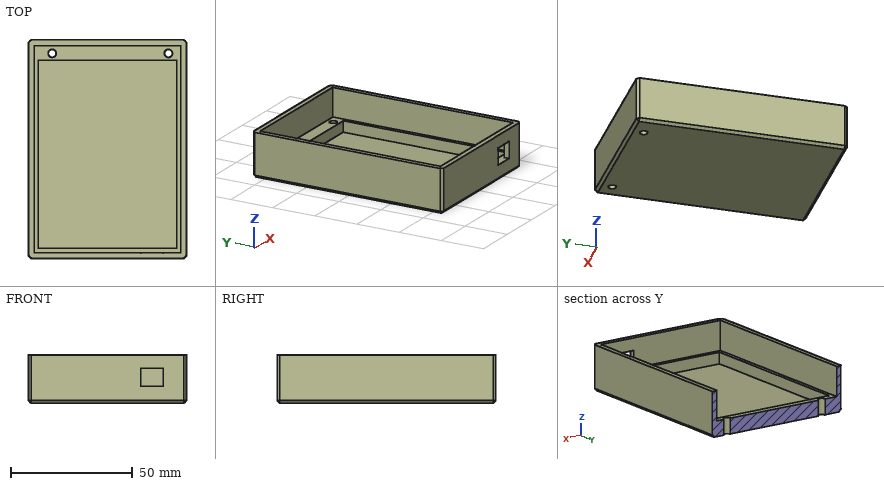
import cadquery as cq

length_x = 65.4
length_y = 90.4
height = 20.0
outer_chamfer = 1.2

wall = 2.4
ledge_z = 7.0
floor_z = 2.0
side_ledge = 1.8
back_ledge = 6.1

screw_diameter = 3.2
screw_spacing = 48.0
screw_from_back = 5.65
screw_center_x = 1.15

window_width = 9.2
window_height = 7.5
window_center_x = 18.35
window_bottom_z = ledge_z

cavity_x = length_x - 2 * wall
cavity_y = length_y - 2 * wall
front_y = -length_y / 2
back_y = length_y / 2


def make_body():
    """Solid block with its upright and bottom edges chamfered."""
    block = cq.Workplane("XY").box(length_x, length_y, height, centered=(True, True, False))
    return block.edges("|Z or <Z").chamfer(outer_chamfer)


def make_cavity():
    """Open upper cavity down to the ledge."""
    return (
        cq.Workplane("XY", origin=(0, 0, ledge_z))
        .box(cavity_x, cavity_y, height - ledge_z, centered=(True, True, False))
    )


def make_well():
    """Deeper well inside the ledge, set forward by the wide back ledge."""
    well_front_y = front_y + wall + side_ledge
    well_back_y = back_y - wall - back_ledge
    return (
        cq.Workplane("XY", origin=(0, (well_front_y + well_back_y) / 2, floor_z))
        .box(
            cavity_x - 2 * side_ledge,
            well_back_y - well_front_y,
            ledge_z - floor_z,
            centered=(True, True, False),
        )
    )


def make_screw_holes():
    """Pair of clearance holes through the back ledge."""
    hole_y = back_y - screw_from_back
    return (
        cq.Workplane("XY")
        .pushPoints([(screw_center_x + side * screw_spacing / 2, hole_y) for side in (-1, 1)])
        .circle(screw_diameter / 2)
        .extrude(ledge_z)
    )


def make_window():
    """Rectangular opening through the front wall."""
    return (
        cq.Workplane("XY", origin=(window_center_x, front_y, window_bottom_z))
        .box(window_width, wall, window_height, centered=(True, False, False))
    )


result = make_body()
for cutter in (make_cavity(), make_well(), make_screw_holes(), make_window()):
    result = result.cut(cutter)